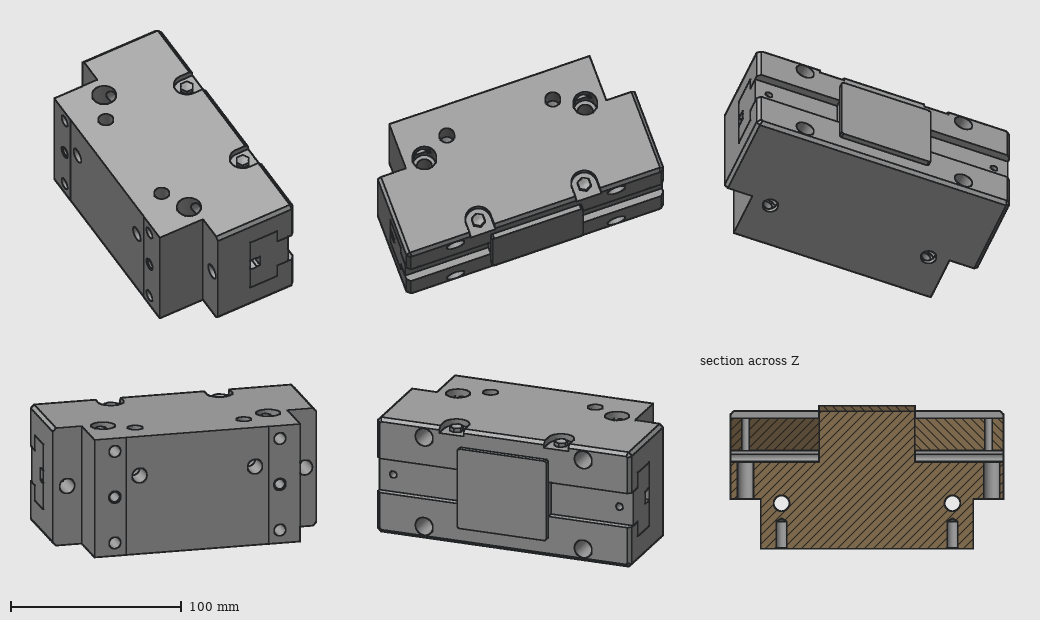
import cadquery as cq
import math


LENGTH = 160.0
TOTAL_DEPTH = 84.0
HEIGHT = 72.0
COVER_RISE = 3.0
BLOCK_DEPTH = TOTAL_DEPTH - COVER_RISE
FOOT_LENGTH = 124.8
FOOT_DEPTH = 29.1
EDGE_CHAMFER = 2.0
RELIEF_LENGTH = 86.4
RELIEF_DEPTH = 0.08

T_FLOOR = 50.9
T_SHOULDER = 69.3
JAW_TOP = 76.6
T_HALF_HEIGHT = 20.0
NECK_HALF_HEIGHT = 10.7
ROD_RADIUS = 4.2
ROD_NOTCH_WIDTH = 7.4
ROD_NOTCH_DEPTH = 6.7
JAW_HOLE_X = 71.2
JAW_HOLE_DIAMETER = 4.3

COVER_LENGTH = 56.3
COVER_HEIGHT = 50.0
COVER_CHAMFER = 1.1

LEDGE_BORE_XS = (-71.2, 73.1)
LEDGE_BORE_DIAMETER = 9.1

MOUNT_X = 50.0
MOUNT_Z = 28.0
MOUNT_DIAMETER = 7.0
MOUNT_HEAD_DIAMETER = 11.0
MOUNT_GRIP = 20.8
AIR_DIAMETER = 6.0
AIR_CHAMFER = 0.6
BOLT_Y = 26.7
BOLT_DIAMETER = 9.1
BOLT_HEAD_DIAMETER = 14.2
BOLT_HEAD_DEPTH = 16.0

DOWEL_DIAMETER = 9.0
BLIND_DEPTH = 16.0
DRILL_POINT_ANGLE = 118.0
FRONT_DOWEL_X = 35.0
FRONT_DOWEL_Z = 12.0
TOP_X = 33.0
TOP_DOWEL_Y = 18.0

PORT_EDGE_DISTANCE = 8.2
POCKET_WIDTH = 15.4
POCKET_DEPTH = 4.0
STUD_FLATS = 7.0
STUD_HEIGHT = 2.4
STUD_DIMPLE_RADIUS = 3.0
STUD_DIMPLE_DEPTH = 1.0


def box(x_min, x_max, y_min, y_max, z_min, z_max):
    """Axis-aligned box between two corners."""
    size = (x_max - x_min, y_max - y_min, z_max - z_min)
    return cq.Workplane("XY").box(*size, centered=False).translate((x_min, y_min, z_min))


def cylinder(diameter, depth, start, direction):
    """Cylinder that runs from a start point along a direction."""
    return cq.Workplane(cq.Solid.makeCylinder(diameter / 2, depth, cq.Vector(*start), cq.Vector(*direction)))


def drilled_hole(diameter, depth, start, direction):
    """Cutter for a blind hole with a conical drilled end."""
    radius = diameter / 2
    point = radius / math.tan(math.radians(DRILL_POINT_ANGLE / 2))
    axis = cq.Vector(*direction)
    tip_base = cq.Vector(*start) + axis * depth
    cone = cq.Solid.makeCone(radius, 0, point, tip_base, axis)
    return cylinder(diameter, depth, start, direction).union(cq.Workplane(cone))


def hexagon(flats):
    """Hexagon across the given flats, with two flats square to X."""
    corner_diameter = flats / math.cos(math.pi / 6)
    return cq.Sketch().regularPolygon(corner_diameter / 2, 6)


def block():
    """Chamfered main block with the narrower foot and its slightly relieved mounting face."""
    main = box(-LENGTH / 2, LENGTH / 2, FOOT_DEPTH, BLOCK_DEPTH, -HEIGHT / 2, HEIGHT / 2)
    main = main.edges("|Y").chamfer(EDGE_CHAMFER)
    main = main.faces(">Y").edges().chamfer(EDGE_CHAMFER)
    foot = box(-FOOT_LENGTH / 2, FOOT_LENGTH / 2, 0, FOOT_DEPTH, -HEIGHT / 2, HEIGHT / 2)
    relief = box(-RELIEF_LENGTH / 2, RELIEF_LENGTH / 2, 0, RELIEF_DEPTH, -HEIGHT / 2, HEIGHT / 2)
    return main.union(foot).cut(relief)


def t_bar(side, top):
    """T-section bar from one end of the block to the edge of the cover."""
    outer = side * LENGTH / 2
    inner = side * COVER_LENGTH / 2
    x_min = min(outer, inner)
    x_max = max(outer, inner)
    wide = box(x_min, x_max, T_FLOOR, T_SHOULDER, -T_HALF_HEIGHT, T_HALF_HEIGHT)
    neck = box(x_min, x_max, T_SHOULDER, top, -NECK_HALF_HEIGHT, NECK_HALF_HEIGHT)
    return wide.union(neck)


def jaw(side):
    """T-section jaw with a rod groove along its floor and a small round hole across it."""
    body = t_bar(side, JAW_TOP)
    notch_top = T_FLOOR + ROD_NOTCH_DEPTH
    half_notch = ROD_NOTCH_WIDTH / 2
    notch = box(-LENGTH / 2, LENGTH / 2, T_FLOOR, notch_top, -half_notch, half_notch)
    rod_start = (-LENGTH / 2, notch_top - ROD_RADIUS, 0)
    rod = cylinder(2 * ROD_RADIUS, LENGTH, rod_start, (1, 0, 0))
    rod = rod.intersect(box(-LENGTH / 2, LENGTH / 2, T_FLOOR, JAW_TOP, -HEIGHT / 2, HEIGHT / 2))
    hole = cylinder(JAW_HOLE_DIAMETER, JAW_TOP - T_FLOOR, (side * JAW_HOLE_X, T_FLOOR, 0), (0, 1, 0))
    return body.cut(notch).cut(rod).cut(hole)


def ledge_bores():
    """Bores from the ledges into the jaw guides."""
    cutters = cq.Workplane()
    for x in LEDGE_BORE_XS:
        start = (x, FOOT_DEPTH, 0)
        cutters = cutters.add(cylinder(LEDGE_BORE_DIAMETER, T_FLOOR - FOOT_DEPTH, start, (0, 1, 0)))
    return cutters.combine()


def mounting_holes(side):
    """Through holes along Y and Z, and the blind hole between them, at one end of the foot."""
    x = side * MOUNT_X
    into_face = (0, 1, 0)
    down = (0, 0, -1)
    cutters = drilled_hole(AIR_DIAMETER, BLIND_DEPTH, (x, 0, 0), into_face)
    air_radius = AIR_DIAMETER / 2
    mouth = cq.Solid.makeCone(
        air_radius + AIR_CHAMFER, air_radius, AIR_CHAMFER, cq.Vector(x, 0, 0), cq.Vector(*into_face)
    )
    cutters = cutters.union(cq.Workplane(mouth))
    for z in (-MOUNT_Z, MOUNT_Z):
        cutters = cutters.union(cylinder(MOUNT_DIAMETER, BLOCK_DEPTH, (x, 0, z), into_face))
        head_length = BLOCK_DEPTH - MOUNT_GRIP
        cutters = cutters.union(cylinder(MOUNT_HEAD_DIAMETER, head_length, (x, MOUNT_GRIP, z), into_face))
    bolt_start = (x, BOLT_Y, HEIGHT / 2)
    cutters = cutters.union(cylinder(BOLT_DIAMETER, HEIGHT, bolt_start, down))
    return cutters.union(cylinder(BOLT_HEAD_DIAMETER, BOLT_HEAD_DEPTH, bolt_start, down))


def dowel_holes(side):
    """Blind dowel holes in the mounting face and the top face."""
    front = drilled_hole(DOWEL_DIAMETER, BLIND_DEPTH, (side * FRONT_DOWEL_X, 0, FRONT_DOWEL_Z), (0, 1, 0))
    top = drilled_hole(DOWEL_DIAMETER, BLIND_DEPTH, (side * TOP_X, TOP_DOWEL_Y, HEIGHT / 2), (0, 0, -1))
    return front.union(top)


def port_pocket(side):
    """Round-ended pocket in the top face, open at the jaw face."""
    x = side * TOP_X
    center_y = BLOCK_DEPTH - PORT_EDGE_DISTANCE
    floor = HEIGHT / 2 - POCKET_DEPTH
    half_width = POCKET_WIDTH / 2
    slot = box(x - half_width, x + half_width, center_y, BLOCK_DEPTH, floor, HEIGHT / 2)
    return slot.union(cylinder(POCKET_WIDTH, POCKET_DEPTH, (x, center_y, floor), (0, 0, 1)))


def port_stud(side):
    """Hexagonal stud with a conical dimple, standing on the pocket floor."""
    floor = HEIGHT / 2 - POCKET_DEPTH
    base = cq.Workplane(origin=(side * TOP_X, BLOCK_DEPTH - PORT_EDGE_DISTANCE, floor))
    stud = base.placeSketch(hexagon(STUD_FLATS)).extrude(STUD_HEIGHT)
    dimple_center = cq.Vector(side * TOP_X, BLOCK_DEPTH - PORT_EDGE_DISTANCE, floor + STUD_HEIGHT)
    dimple = cq.Solid.makeCone(STUD_DIMPLE_RADIUS, 0, STUD_DIMPLE_DEPTH, dimple_center, cq.Vector(0, 0, -1))
    return stud.cut(cq.Workplane(dimple))


def make_housing():
    """Housing with every hole and pocket, as one solid."""
    body = block().cut(ledge_bores())
    for side in (-1, 1):
        body = body.cut(t_bar(side, BLOCK_DEPTH))
        body = body.cut(mounting_holes(side))
        body = body.cut(dowel_holes(side))
        body = body.cut(port_pocket(side))
        body = body.union(port_stud(side))
    return body


def make_cover():
    """Plate on the jaw face with chamfered corners."""
    half_length = COVER_LENGTH / 2
    half_height = COVER_HEIGHT / 2
    plate = box(-half_length, half_length, BLOCK_DEPTH, TOTAL_DEPTH, -half_height, half_height)
    return plate.edges("|Y").chamfer(COVER_CHAMFER)


housing = make_housing()
cover = make_cover()
jaws = [jaw(side) for side in (-1, 1)]

result = cq.Compound.makeCompound([housing.val(), cover.val(), *[body.val() for body in jaws]])